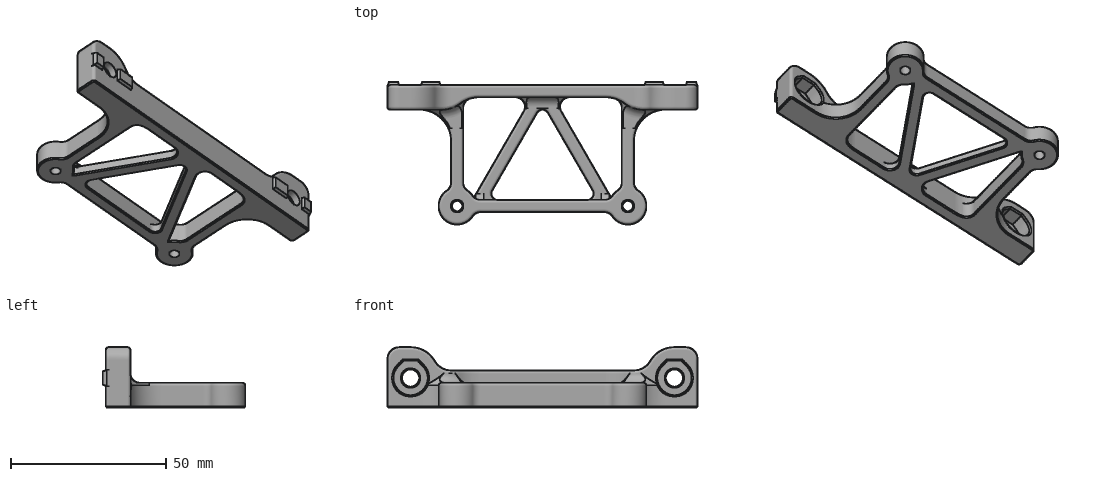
import cadquery as cq
import math

width = 100.0
height = 19.5
bar_height = 12.0
frame_height = 8.0
brace_height = 4.0
member = 4.0
edge_radius = 1.0
edge_chamfer = 0.4
tolerance = 0.01
overlap = 3.0

boss_x = 27.5
boss_radius = 6.0
boss_hole = 3.3
boss_blend = 3.0
back_y = 39.0
ear_depth = 8.0

ear_x = 42.5
ear_z = 9.5
ear_flat_x = 46.0
ear_crown_radius = 9.0
ear_valley_radius = 6.0
ear_hole = 5.5
seat_radius = 5.5
seat_depth = 5.0
seat_bevel = 0.5

bar_blend_radius = 10.0
bar_blend_x = 20.5
leg_blend_radius = 10.0
window_radius = 3.0
gusset_radius = 3.0
gusset_taper = 35.0
gusset_sink = 0.75
foot_gusset_radius = 2.0

brace_angle = 30.0
brace_top_radius = 3.0
brace_crotch_radius = 2.0
brace_foot_radius = 2.0

key_height = 5.3
key_depth = 1.0
key_sink = 0.4
key_taper = 20.0
key_spans = [(46.0, 50.0), (32.7, 39.3)]

half_width = width / 2
half_member = member / 2
ear_front_y = back_y - ear_depth
bar_front_y = back_y - member
leg_inner_x = boss_x - half_member
leg_outer_x = boss_x + half_member
brace_slope = math.tan(math.radians(brace_angle))
brace_half_x = half_member / math.cos(math.radians(brace_angle))
brace_top_y = back_y - half_member


def both_sides(solid):
    """Add the mirror image across the YZ plane."""
    return solid.union(solid.mirror("YZ"))


def ear_bar_front():
    """Front silhouette of the right half of the rear bar and ear."""
    drop = height - bar_height
    blend_radii = ear_crown_radius + ear_valley_radius
    turn = math.acos(1 - drop / blend_radii)
    half_turn = turn / 2
    meet_x = ear_x - ear_crown_radius * math.sin(turn)
    meet_z = height - ear_crown_radius * (1 - math.cos(turn))
    valley_x = meet_x - ear_valley_radius * math.sin(turn)
    corner = half_width - ear_flat_x
    corner_mid = corner * (1 - math.sqrt(0.5))
    return (
        cq.Workplane("XZ", origin=(0, back_y, 0))
        .moveTo(0, 0)
        .lineTo(0, bar_height)
        .lineTo(valley_x, bar_height)
        .threePointArc(
            (valley_x + ear_valley_radius * math.sin(half_turn),
             bar_height + ear_valley_radius * (1 - math.cos(half_turn))),
            (meet_x, meet_z),
        )
        .threePointArc(
            (ear_x - ear_crown_radius * math.sin(half_turn),
             height - ear_crown_radius * (1 - math.cos(half_turn))),
            (ear_x, height),
        )
        .lineTo(ear_flat_x, height)
        .threePointArc((half_width - corner_mid, height - corner_mid), (half_width, height - corner))
        .lineTo(half_width, 0)
        .close()
        .extrude(ear_depth)
    )


def ear_bar_plan():
    """Plan outline of the right half: slim bar widening into the ear."""
    step = bar_front_y - ear_front_y
    turn = math.acos(1 - step / (2 * bar_blend_radius))
    half_turn = turn / 2
    reach = bar_blend_radius * math.sin(half_turn)
    sag = bar_blend_radius * (1 - math.cos(half_turn))
    meet_x = bar_blend_x + bar_blend_radius * math.sin(turn)
    ear_start_x = meet_x + bar_blend_radius * math.sin(turn)
    return (
        cq.Workplane("XY")
        .moveTo(0, back_y)
        .lineTo(0, bar_front_y)
        .lineTo(bar_blend_x, bar_front_y)
        .threePointArc((bar_blend_x + reach, bar_front_y - sag), (meet_x, bar_front_y - step / 2))
        .threePointArc((ear_start_x - reach, ear_front_y + sag), (ear_start_x, ear_front_y))
        .lineTo(half_width, ear_front_y)
        .lineTo(half_width, back_y)
        .close()
        .extrude(height)
    )


def rear_bar():
    """Rear bar with both ears, rounded along its front and back outlines."""
    half = ear_bar_front().intersect(ear_bar_plan())
    whole = both_sides(half).clean()

    def is_outline_edge(edge):
        middle = edge.Center()
        along = edge.tangentAt(0.5)
        on_underside = middle.z < edge_radius
        runs_back = abs(along.y) > 0.99
        seam_on_front = abs(along.z) > 0.99 and abs(middle.x) < half_width - edge_radius
        return not (on_underside or runs_back or seam_on_front)

    outline_edges = [edge for edge in whole.edges().vals() if is_outline_edge(edge)]
    return whole.newObject(outline_edges).fillet(edge_radius)


def leg_plan():
    """Plan of the right leg, flared into the ear outside and the slim bar inside."""
    roll_radius = bar_blend_radius - window_radius
    roll_center_x = leg_inner_x - window_radius
    roll_dx = roll_center_x - bar_blend_x
    roll_dy = math.sqrt(roll_radius**2 - roll_dx**2)
    roll_center_y = bar_front_y - bar_blend_radius + roll_dy
    roll_angle = math.atan2(roll_dy, roll_dx)
    end_x = roll_center_x + window_radius * math.cos(roll_angle)
    end_y = roll_center_y + window_radius * math.sin(roll_angle)
    mid_x = roll_center_x + window_radius * math.cos(roll_angle / 2)
    mid_y = roll_center_y + window_radius * math.sin(roll_angle / 2)
    inside_bar_y = bar_front_y + overlap
    tangent_x = end_x - (inside_bar_y - end_y) * roll_dy / roll_dx
    flare_mid = leg_blend_radius * (1 - math.sqrt(0.5))
    flare_end_x = leg_outer_x + leg_blend_radius
    flare_start_y = ear_front_y - leg_blend_radius
    return (
        cq.Workplane("XY")
        .moveTo(leg_inner_x, 0)
        .lineTo(leg_inner_x, roll_center_y)
        .threePointArc((mid_x, mid_y), (end_x, end_y))
        .lineTo(tangent_x, inside_bar_y)
        .lineTo(flare_end_x, inside_bar_y)
        .lineTo(flare_end_x, ear_front_y)
        .threePointArc((leg_outer_x + flare_mid, ear_front_y - flare_mid), (leg_outer_x, flare_start_y))
        .lineTo(leg_outer_x, 0)
        .close()
    )


def frame():
    """Legs, front bar and bosses as one flat body with a rounded top."""
    half = (
        leg_plan()
        .extrude(frame_height)
        .union(cq.Workplane("XY").box(boss_x, member, frame_height, centered=(False, True, False)))
        .union(cq.Workplane("XY").center(boss_x, 0).circle(boss_radius).extrude(frame_height))
    )

    def is_boss_corner(edge):
        middle = edge.Center()
        on_boss = abs(math.hypot(middle.x - boss_x, middle.y) - boss_radius) < tolerance
        on_seam = abs(middle.y) < tolerance
        return on_boss and not on_seam

    corners = [edge for edge in half.edges("|Z").vals() if is_boss_corner(edge)]
    half = half.newObject(corners).fillet(boss_blend)
    return both_sides(half).clean().faces(">Z").edges().fillet(edge_radius)


def brace_prism():
    """Both braces with their end blends, as a plain prism between the two bars."""
    foot_y = half_member
    foot_x = (brace_top_y - foot_y) * brace_slope
    brace_end_x = brace_top_y * brace_slope
    strip = (
        cq.Workplane("XY")
        .polyline([
            (-brace_half_x, brace_top_y),
            (brace_half_x, brace_top_y),
            (brace_end_x + brace_half_x, 0),
            (brace_end_x - brace_half_x, 0),
        ])
        .close()
        .extrude(brace_height)
    )
    root = cq.Workplane("XY").box(2 * boss_x, overlap, brace_height, centered=(True, False, False))
    body = (
        both_sides(strip)
        .union(root.translate((0, foot_y - overlap, 0)))
        .union(root.translate((0, bar_front_y, 0)))
        .clean()
    )

    def round_corners(solid, y, x_from, x_to, radius):
        corners = [
            edge
            for edge in solid.edges("|Z").vals()
            if abs(edge.Center().y - y) < tolerance and x_from <= abs(edge.Center().x) <= x_to
        ]
        return solid.newObject(corners).fillet(radius)

    crotch_y = brace_top_y - brace_half_x / brace_slope
    body = round_corners(body, crotch_y, 0, brace_half_x, brace_crotch_radius)
    body = round_corners(body, bar_front_y, 0, foot_x, brace_top_radius)
    return round_corners(body, foot_y, 0, foot_x + 2 * brace_half_x, brace_foot_radius)


def braces():
    """Both braces with rounded upper edges."""
    return brace_prism().faces(">Z").edges().fillet(edge_radius)


def gusset(outline, floor):
    """Concave blend from a flat top at the floor level up the front of the rear bar."""
    start_y = ear_front_y - 2 * gusset_radius
    slab = cq.Workplane("XY").box(width, back_y - start_y, floor, centered=(True, False, False))
    wall = both_sides(ear_bar_plan())
    block = wall.union(slab.translate((0, start_y, 0))).clean()

    def at_wall_foot(edge):
        box = edge.BoundingBox()
        is_level = box.zlen < tolerance and abs(box.zmin - floor) < tolerance
        on_rim = box.ymax < start_y + tolerance or abs(edge.Center().x) > half_width - tolerance
        return is_level and not on_rim

    foot_edges = [edge for edge in block.edges().vals() if at_wall_foot(edge)]
    blend = block.newObject(foot_edges).fillet(gusset_radius)
    envelope = outline.extrude(gusset_radius + gusset_sink, taper=gusset_taper)
    envelope = envelope.translate((0, 0, floor - gusset_sink))
    return blend.intersect(envelope)


def brace_gusset():
    """Concave blend where the two braces meet the rear bar."""
    crotch_top_y = brace_top_y - brace_half_x / brace_slope - brace_crotch_radius
    apex_box = cq.Workplane("XY").box(
        boss_x, back_y - crotch_top_y, brace_height, centered=(True, False, False)
    )
    apex = brace_prism().intersect(apex_box.translate((0, crotch_top_y, 0)))
    outline = cq.Workplane("XY").add(apex.faces("<Z").wires().vals()).toPending()
    return gusset(outline, brace_height)


def foot_gusset():
    """Small concave blend from a brace top up the back of the front bar."""
    foot_x = (brace_top_y - half_member) * brace_slope
    flat_width = 2 * (brace_half_x - edge_radius)
    root_y = half_member - edge_radius
    root_z = brace_height - edge_radius
    blend_y = half_member + foot_gusset_radius
    blend_z = brace_height + foot_gusset_radius
    sag = foot_gusset_radius * (1 - math.sqrt(0.5))
    return (
        cq.Workplane("YZ", origin=(foot_x - flat_width / 2, 0, 0))
        .moveTo(root_y, root_z)
        .lineTo(root_y, blend_z)
        .lineTo(half_member, blend_z)
        .threePointArc((half_member + sag, brace_height + sag), (blend_y, brace_height))
        .lineTo(blend_y, root_z)
        .close()
        .extrude(flat_width)
    )


def seat_profile(radius, y):
    """Circle whose upper side continues at 45 degrees to a flat roof."""
    tangent = radius * math.sqrt(0.5)
    roof_half = radius * (math.sqrt(2) - 1)
    return (
        cq.Workplane("XZ", origin=(ear_x, y, ear_z))
        .moveTo(tangent, tangent)
        .lineTo(roof_half, radius)
        .lineTo(-roof_half, radius)
        .lineTo(-tangent, tangent)
        .threePointArc((0, -radius), (tangent, tangent))
        .close()
    )


def screw_seat():
    """Ear hole with its screw seat, kept clear towards the front."""
    mouth_radius = seat_radius + seat_bevel
    floor_y = ear_front_y + seat_depth
    hole = (
        cq.Workplane("XZ", origin=(ear_x, back_y + overlap, ear_z))
        .circle(ear_hole / 2)
        .extrude(ear_depth + overlap)
    )
    hole_bevel = (
        cq.Workplane("XZ", origin=(ear_x, floor_y, ear_z))
        .circle(ear_hole / 2 + edge_chamfer)
        .extrude(-edge_chamfer, taper=45)
    )
    return (
        seat_profile(seat_radius, floor_y).extrude(seat_depth)
        .union(seat_profile(mouth_radius, ear_front_y).extrude(-seat_bevel, taper=45))
        .union(seat_profile(mouth_radius, ear_front_y).extrude(leg_blend_radius))
        .union(hole)
        .union(hole_bevel)
    )


def boss_bore():
    """Through hole of a boss with a bevelled mouth."""
    bevel = (
        cq.Workplane("XY", origin=(boss_x, 0, frame_height))
        .circle(boss_hole / 2 + edge_chamfer)
        .extrude(-edge_chamfer, taper=45)
    )
    return cq.Workplane("XY").center(boss_x, 0).circle(boss_hole / 2).extrude(frame_height).union(bevel)


def key(x_from, x_to):
    """Locating key with drafted sides; its root fills the rounded ear edge."""
    def outline(y):
        return cq.Workplane("XZ", origin=((x_from + x_to) / 2, y, ear_z)).rect(x_to - x_from, key_height)

    base_y = back_y - key_sink
    tip = outline(base_y).extrude(-key_depth - key_sink, taper=key_taper)
    return outline(base_y).extrude(edge_radius).union(tip)


def bevel_underside(solid):
    """Bevel all edges of the bottom face."""
    return solid.faces("<Z").edges().chamfer(edge_chamfer)


result = bevel_underside(rear_bar())
result = result.union(bevel_underside(frame()))
result = result.union(bevel_underside(braces()))
result = result.union(both_sides(gusset(leg_plan(), frame_height)))
result = result.union(brace_gusset())
result = result.union(both_sides(foot_gusset()))
result = result.cut(both_sides(screw_seat()))
result = result.cut(both_sides(boss_bore()))
for x_from, x_to in key_spans:
    result = result.union(both_sides(key(x_from, x_to)))